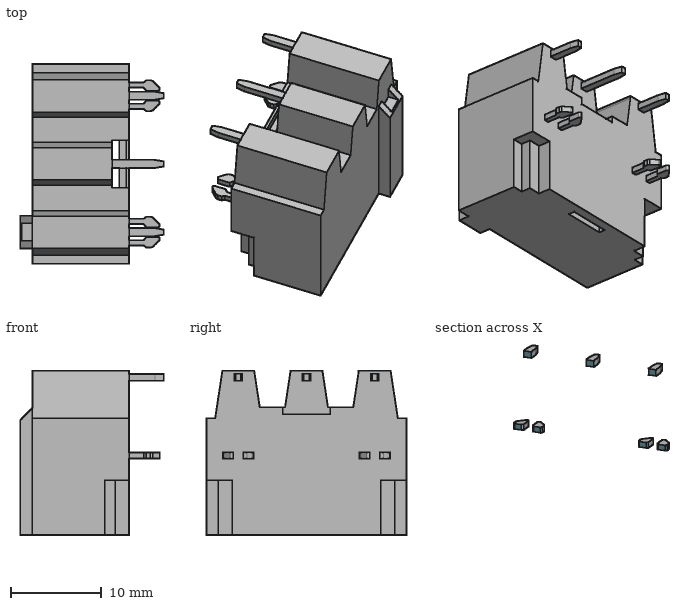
import cadquery as cq


body_length = 10.65
body_width = 22.0
total_height = 18.1
shoulder_z = 12.9
channel_z = 14.1

pole_pitch = 7.5
pole_positions = [-pole_pitch, 0, pole_pitch]
tower_top_half = 1.75
tower_flare = 0.8
lip_height = 0.26

rib_depth = 1.35
rib_half_width = 1.8
rib_edge_z = 12.67
rib_slot_half_width = 0.97
rib_slot_z = 12.83

window_length = 1.87
window_half_width = 2.6
shelf_length = 1.1
shelf_z = 12.55
ridge_length = 0.35
ridge_z = 13.3

notch_height = 6.07
notch_length = 2.7
notch_depth = 1.32
deep_notch_length = 1.52
deep_notch_depth = 2.85

pin_reach = 3.8
pin_half_width = 0.46
pin_tip_half_width = 0.29
pin_taper_length = 1.01
pin_thickness = 0.77
pin_z = 17.35

clip_thickness = 0.68
clip_z = 8.78
leg_outer = 1.47
leg_inner = 0.88
barb_outer = 1.72
barb_inner = 0.53
barb_start = 1.58
barb_inner_start = 1.87
barb_full = 1.9
barb_flat_end = 2.33
barb_slope_start = 2.6
barb_slope_y = 1.63
barb_slope_run = 0.68
clip_nose = (3.37, 0.75)
clip_nose_end = 3.15
root_length = 0.45


def block(x_min, x_max, y_min, y_max, z_min, z_max):
    """Axis-aligned box between the given limits."""
    return cq.Workplane("XY").box(
        x_max - x_min, y_max - y_min, z_max - z_min, centered=False
    ).translate((x_min, y_min, z_min))


def tower_half_width(z):
    """Half-width of a tapered tower at height z."""
    return tower_top_half + tower_flare * (total_height - z) / (total_height - shoulder_z)


def housing():
    """Housing profile with tapered towers, extruded along X."""
    half_width = body_width / 2
    channel_half = tower_half_width(channel_z)
    shoulder_half = tower_half_width(shoulder_z)
    points = [(-half_width, 0), (-half_width, shoulder_z)]
    for y in pole_positions:
        is_first = y == pole_positions[0]
        is_last = y == pole_positions[-1]
        left_foot = (y - shoulder_half, shoulder_z) if is_first else (y - channel_half, channel_z)
        right_foot = (y + shoulder_half, shoulder_z) if is_last else (y + channel_half, channel_z)
        left_top = [(y - tower_top_half, total_height)]
        if is_last:
            lip_y = y - tower_half_width(total_height - lip_height)
            left_top = [(lip_y, total_height - lip_height), (lip_y, total_height)]
        points += [
            left_foot,
            *left_top,
            (y + tower_top_half, total_height),
            right_foot,
        ]
    points += [(half_width, shoulder_z), (half_width, 0)]
    return cq.Workplane("YZ").polyline(points).close().extrude(body_length)


def window_block(length, height):
    """Block as wide as the window, measured inwards from the +X face and up from the base."""
    return block(
        body_length - length, body_length,
        -window_half_width, window_half_width,
        0, height,
    )


def window_cutter():
    """Opening behind the middle tower, leaving a shelf and a ridge along the +X face."""
    opening = window_block(window_length, total_height)
    shelf = window_block(shelf_length, shelf_z)
    ridge = window_block(ridge_length, ridge_z)
    return opening.cut(shelf).cut(ridge)


def end_notch():
    """Two-step notch in the lower +X corner of the -Y end."""
    face_y = -body_width / 2
    shallow = block(
        body_length - notch_length, body_length, face_y, face_y + notch_depth, 0, notch_height
    )
    deep = block(
        body_length - deep_notch_length, body_length, face_y, face_y + deep_notch_depth, 0, notch_height
    )
    return shallow.union(deep)


def keying_rib():
    """Rib on the -X face with a sloped top and a slot through the slope."""
    y = pole_positions[0]
    rib = (
        cq.Workplane("XZ", origin=(0, y, 0))
        .polyline([(0, 0), (-rib_depth, 0), (-rib_depth, rib_edge_z), (0, rib_edge_z + rib_depth)])
        .close()
        .extrude(rib_half_width, both=True)
    )
    slot = block(
        -rib_depth, 0,
        y - rib_slot_half_width, y + rib_slot_half_width,
        rib_slot_z, total_height,
    )
    return rib.cut(slot)


def contact_pin(y):
    """Flat pin with a tapered tip, rooted at the back wall of the window."""
    start_x = body_length - window_length
    tip_x = body_length + pin_reach
    taper_x = tip_x - pin_taper_length
    return (
        cq.Workplane("XY", origin=(0, y, pin_z))
        .polyline([
            (start_x - root_length, -pin_half_width),
            (taper_x, -pin_half_width),
            (tip_x, -pin_tip_half_width),
            (tip_x, pin_tip_half_width),
            (taper_x, pin_half_width),
            (start_x - root_length, pin_half_width),
        ])
        .close()
        .extrude(pin_thickness / 2, both=True)
    )


def clip_leg():
    """Barbed +Y leg of a locking clip; X is measured from the housing face."""
    return (
        cq.Workplane("XY")
        .moveTo(-root_length, leg_inner)
        .lineTo(-root_length, leg_outer)
        .lineTo(barb_start, leg_outer)
        .lineTo(barb_full, barb_outer)
        .lineTo(barb_flat_end, barb_outer)
        .lineTo(barb_slope_start, barb_slope_y)
        .lineTo(barb_slope_start + barb_slope_run, barb_slope_y - barb_slope_run)
        .threePointArc(clip_nose, (clip_nose_end, barb_inner))
        .lineTo(barb_inner_start, barb_inner)
        .lineTo(barb_start, leg_inner)
        .close()
        .extrude(clip_thickness / 2, both=True)
    )


result = housing().cut(window_cutter())

lower_notch = end_notch()
result = result.cut(lower_notch).cut(lower_notch.mirror("XZ"))

result = result.union(keying_rib())

for pole_y in pole_positions:
    result = result.union(contact_pin(pole_y))

upper_leg = clip_leg()
lower_leg = upper_leg.mirror("XZ")
for pole_y in (pole_positions[0], pole_positions[-1]):
    for leg in (upper_leg, lower_leg):
        result = result.union(leg.translate((body_length, pole_y, clip_z)))